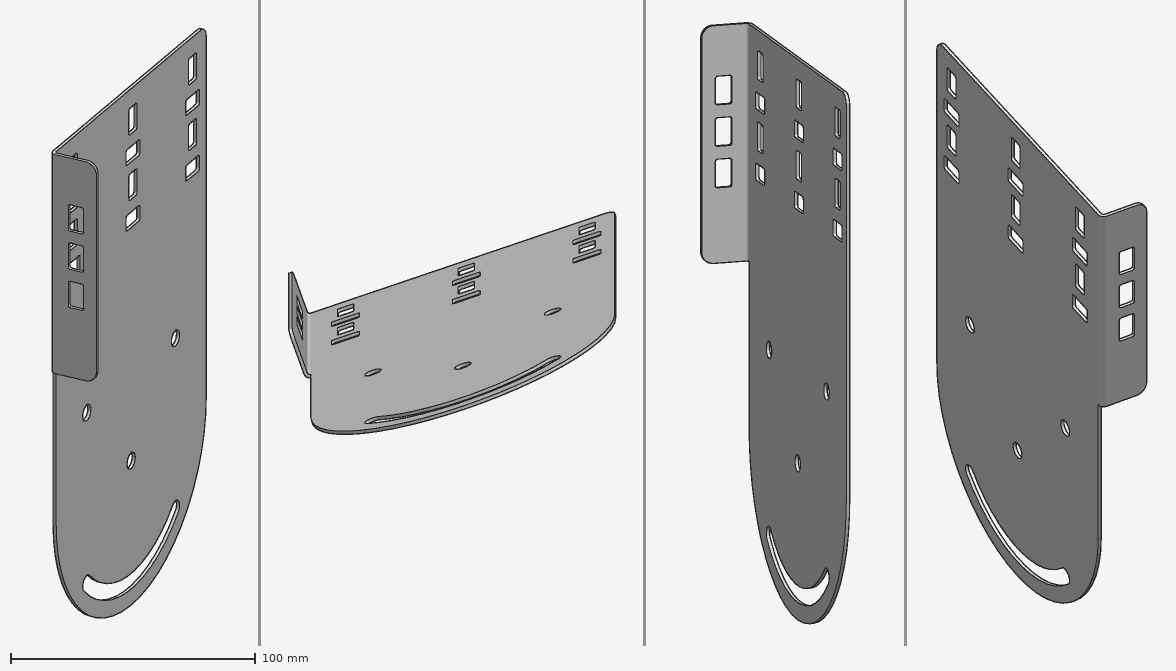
import cadquery as cq
import math

diagonal = math.sqrt(0.5)

height = 236.0
sheet = 1.5
bend_radius = 2.5
overall_width = 134.5
flange_reach = 21.5
flange_height = 100.0
corner_radius = 5.0

plate_width = overall_width - bend_radius
end_radius = plate_width / 2
top = height - end_radius
flange_face = -end_radius - bend_radius

slot_length = 12.0
slot_width = 7.0
slot_corner = 1.0
cut_depth = 4 * sheet
column_count = 3
row_count = 2
column_inset = 12.0
column_pitch = 52.5
upright_depth = 14.6
crosswise_depth = 30.0
row_pitch = 30.0
flange_slot_count = 3
flange_slot_x = 12.0
flange_slot_depth = 27.4
flange_slot_pitch = 17.5

hole_diameter = 7.0
hole_offset = 39.0
arc_radius = hole_offset / diagonal


def plate():
    """Flat plate with a half-round bottom and one rounded top corner."""
    return (
        cq.Workplane("YZ")
        .moveTo(-end_radius, top)
        .lineTo(end_radius, top)
        .lineTo(end_radius, 0)
        .threePointArc((0, -end_radius), (-end_radius, 0))
        .close()
        .extrude(sheet)
        .edges("|X and >Y and >Z")
        .fillet(corner_radius)
    )


def flange():
    """Bend and flange along the upper part of the -Y side."""
    inner_radius = bend_radius - sheet
    bend_y = -end_radius
    return (
        cq.Workplane("XY", origin=(0, 0, top - flange_height))
        .moveTo(0, bend_y)
        .threePointArc(
            (bend_radius * (1 - diagonal), bend_y - bend_radius * diagonal),
            (bend_radius, flange_face),
        )
        .lineTo(flange_reach, flange_face)
        .lineTo(flange_reach, flange_face + sheet)
        .lineTo(bend_radius, flange_face + sheet)
        .threePointArc(
            (bend_radius - inner_radius * diagonal, bend_y - inner_radius * diagonal),
            (sheet, bend_y),
        )
        .close()
        .extrude(flange_height)
        .edges("|Y and >X")
        .fillet(corner_radius)
    )


def slot_cutter(size_x, size_y, size_z, through_axis, centre):
    """Rectangular slot with small round corners, passing along one axis."""
    block = cq.Workplane("XY").box(size_x, size_y, size_z)
    return block.edges("|" + through_axis).fillet(slot_corner).translate(centre)


def plate_slots():
    """Three columns of alternating upright and crosswise slots."""
    cutters = cq.Workplane("XY")
    for column in range(column_count):
        y = end_radius - column_inset - column * column_pitch
        for row in range(row_count):
            drop = row * row_pitch
            upright_at = (0, y, top - upright_depth - drop)
            crosswise_at = (0, y, top - crosswise_depth - drop)
            cutters = cutters.add(slot_cutter(cut_depth, slot_width, slot_length, "X", upright_at))
            cutters = cutters.add(slot_cutter(cut_depth, slot_length, slot_width, "X", crosswise_at))
    return cutters.combine()


def flange_slots():
    """One column of three upright slots through the flange."""
    cutters = cq.Workplane("XY")
    for row in range(flange_slot_count):
        centre = (flange_slot_x, flange_face, top - flange_slot_depth - row * flange_slot_pitch)
        cutters = cutters.add(slot_cutter(slot_width, cut_depth, slot_length, "Y", centre))
    return cutters.combine()


def round_holes():
    """Pivot hole at the end centre and two holes above it."""
    centres = [(0, 0), (hole_offset, hole_offset), (-hole_offset, hole_offset)]
    return cq.Workplane("YZ").pushPoints(centres).circle(hole_diameter / 2).extrude(sheet)


def curved_slot():
    """Quarter-circle slot below the pivot hole, with round ends."""
    outer = arc_radius + hole_diameter / 2
    inner = arc_radius - hole_diameter / 2
    band = (
        cq.Workplane("YZ")
        .moveTo(-outer * diagonal, -outer * diagonal)
        .threePointArc((0, -outer), (outer * diagonal, -outer * diagonal))
        .lineTo(inner * diagonal, -inner * diagonal)
        .threePointArc((0, -inner), (-inner * diagonal, -inner * diagonal))
        .close()
        .extrude(sheet)
    )
    end_centres = [(-hole_offset, -hole_offset), (hole_offset, -hole_offset)]
    ends = cq.Workplane("YZ").pushPoints(end_centres).circle(hole_diameter / 2).extrude(sheet)
    return band.union(ends)


bracket = plate().union(flange())
for cutter in (plate_slots(), flange_slots(), round_holes(), curved_slot()):
    bracket = bracket.cut(cutter)

result = bracket